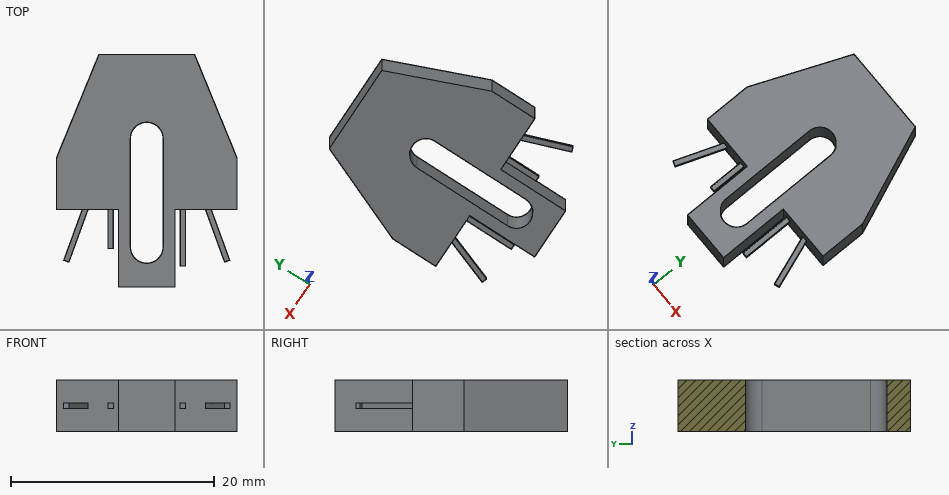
import cadquery as cq

total_length = 22.85
body_width = 17.79
thickness = 5.07
rear_width = 9.42
taper_length = 10.2
head_length = 15.25
tongue_width = 5.55

slot_width = 3.2
slot_length = 13.83
slot_start = 6.68

pin_size = 0.55
pin_embed = 0.45
straight_pin_x = 3.55
left_pin_length = 3.82
right_pin_length = 5.55
splayed_pin_x = 6.05
splayed_pin_length = 5.4
splay_angle = 20.0


def make_body():
    half_outline = [
        (0, 0),
        (rear_width / 2, 0),
        (body_width / 2, -taper_length),
        (body_width / 2, -head_length),
        (tongue_width / 2, -head_length),
        (tongue_width / 2, -total_length),
        (0, -total_length),
    ]
    half = cq.Workplane("XY").polyline(half_outline).close().extrude(thickness)
    return half.union(half.mirror("YZ")).clean()


def make_slot():
    return (
        cq.Workplane("XY")
        .center(0, -slot_start - slot_length / 2)
        .slot2D(slot_length, slot_width, 90)
        .extrude(thickness)
    )


def make_pin(x, length, angle=0.0):
    """Pin rooted at x on the shoulder; a positive angle swings its tip toward +X."""
    bar = cq.Workplane("XY").box(pin_size, length + pin_embed, pin_size)
    bar = bar.translate((0, (pin_embed - length) / 2, 0))
    bar = bar.rotate((0, 0, 0), (0, 0, 1), angle)
    return bar.translate((x, -head_length, thickness / 2))


result = make_body().cut(make_slot())
result = result.union(make_pin(-straight_pin_x, left_pin_length))
result = result.union(make_pin(straight_pin_x, right_pin_length))
for side in (-1, 1):
    result = result.union(make_pin(side * splayed_pin_x, splayed_pin_length, side * splay_angle))